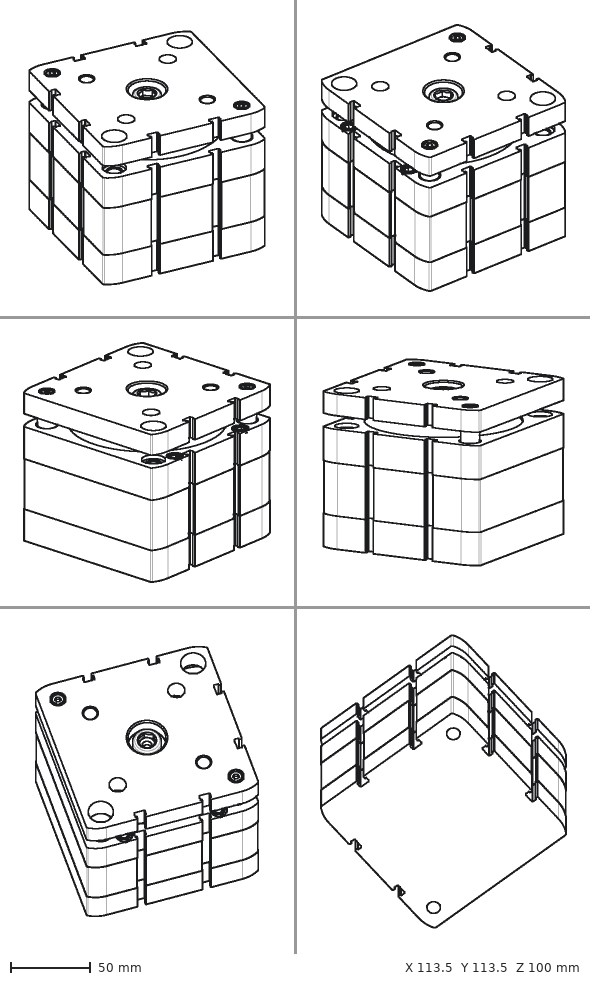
import cadquery as cq
import math

WIDTH = 113.5
HALF = WIDTH / 2
TOTAL_HEIGHT = 100.0
PLATE_THICKNESS = 14.0
PLATE_BOTTOM = TOTAL_HEIGHT - PLATE_THICKNESS
HOUSING_TOP = 77.3
LOWER_CAP_TOP = 21.5
UPPER_CAP_BOTTOM = 55.5
BARREL_INSET = 0.2

CORNER_START = 44.8
CORNER_RADIUS = 22.5
CORNER_BLEND = 1.5

SLOT_OFFSET = 21.5
SLOT_OPENING = 5.2
SLOT_WIDTH = 7.2
SLOT_DEPTH = 5.0
SLOT_LIP = 1.9
SLOT_CHAMFER = 0.3
SLOT_SIDES = (0, 90, 180)

CORNER_PITCH = 44.6
GUIDE_DIAMETER = 12.0
GUIDE_LEAD_DIAMETER = 14.0
GUIDE_LEAD_DEPTH = 0.3
PISTON_ROD_DIAMETER = 20.0
ROD_BOTTOM = LOWER_CAP_TOP
FLAT_WIDTH = 17.0
FLAT_BOTTOM = HOUSING_TOP + 2.0

COVER_RECESS_DIAMETER = 100.0
COVER_RECESS_DEPTH = 1.7
MOUNT_BORE = 8.4
MOUNT_RIM = 10.0
MOUNT_COUNTERBORE = 15.0
MOUNT_COUNTERBORE_DEPTH = 2.5
CAP_SCREW_X = -50.7
CAP_SCREW_Y = 31.2
CAP_SCREW_RECESS = 10.7
CAP_SCREW_RECESS_DEPTH = 1.7
CAP_SCREW_HEAD = 10.0
CAP_SCREW_CHAMFER = 1.0
CAP_SCREW_SOCKET_FLATS = 5.0
CAP_SCREW_SOCKET_RIM = 6.0
CAP_SCREW_SOCKET_DEPTH = 3.4

PLATE_CORNER_HOLE = 15.8
INNER_PITCH = 28.4
PLAIN_HOLE = 10.7
TAPPED_HOLE = 8.5
TAPPED_RIM = 10.0
CENTRE_BORE = 24.0
CENTRE_BORE_CHAMFER = 1.0
CENTRE_BORE_FLOOR = PLATE_BOTTOM + 4.5
CENTRE_SCREW_HEAD = 18.0
CENTRE_SCREW_TOP = PLATE_BOTTOM + 10.9
CENTRE_SCREW_ROUND = 1.1
CENTRE_SOCKET_FLATS = 10.0
CENTRE_SOCKET_RIM = 12.0
CENTRE_SOCKET_DEPTH = 4.5
CENTRE_DRILL = 6.0
CENTRE_DRILL_DEPTH = 2.3
DRILL_TIP_SLOPE = math.tan(math.radians(30))
ROD_SCREW_HOLE = 10.0
ROD_SCREW_HOLE_DEPTH = 3.4
ROD_SCREW_HEAD = 8.4
ROD_SCREW_CHAMFER = 0.6
ROD_SCREW_SINK = 0.3
ROD_SCREW_SOCKET = 4.0
ROD_SCREW_SOCKET_DEPTH = 2.3
ROD_SCREW_SOCKET_TURN = 15

CLEAR = 1.1
CENTRE = [(0, 0)]


def rising_pair(pitch):
    """Two points on the diagonal that rises toward +X +Y."""
    return [(pitch, pitch), (-pitch, -pitch)]


def falling_pair(pitch):
    """Two points on the diagonal that falls toward +X -Y."""
    return [(-pitch, pitch), (pitch, -pitch)]


GUIDE_POINTS = rising_pair(CORNER_PITCH)
MOUNT_POINTS = falling_pair(CORNER_PITCH)
TAPPED_POINTS = rising_pair(INNER_PITCH)
PLAIN_POINTS = falling_pair(INNER_PITCH)
CAP_SCREW_POINTS = [(CAP_SCREW_X, -CAP_SCREW_Y), (CAP_SCREW_X, CAP_SCREW_Y)]


def discs(points, diameter, bottom, top):
    """Upright cylinders of one diameter at all the points."""
    return (cq.Workplane("XY", origin=(0, 0, bottom)).pushPoints(points)
            .circle(diameter / 2).extrude(top - bottom))


def cones(points, bottom_diameter, top_diameter, bottom, top):
    """Upright cones, pointed or truncated, at all the points."""
    cone = cq.Solid.makeCone(bottom_diameter / 2, top_diameter / 2, top - bottom)
    return cq.Workplane("XY").newObject([cone.moved(cq.Location(cq.Vector(x, y, bottom))) for x, y in points])


def across_corners(across_flats):
    return across_flats / math.cos(math.pi / 6)


def hexagons(points, across_corners, bottom, top, turn=0):
    """Upright hexagonal prisms at all the points, one corner along +X before the turn."""
    prism = cq.Workplane("XY").polygon(6, across_corners).extrude(top - bottom)
    prism = prism.rotate((0, 0, 0), (0, 0, 1), turn).val()
    return cq.Workplane("XY").newObject([prism.moved(cq.Location(cq.Vector(x, y, bottom))) for x, y in points])


def subtract(body, cutters):
    for cutter in cutters.vals():
        body = body.cut(cq.Workplane(cutter))
    return body


def slot_cutter(bottom, top, inset):
    """One T slot in the -X side, its walls set back by the inset like the rest of the profile."""
    mouth = SLOT_OPENING / 2 + inset
    undercut = SLOT_WIDTH / 2 + inset
    face = -HALF + inset
    shoulder = -HALF + SLOT_LIP - inset
    floor = -HALF + SLOT_DEPTH + inset
    upper_half = [
        (face - CLEAR, mouth + SLOT_CHAMFER),
        (face, mouth + SLOT_CHAMFER),
        (face + SLOT_CHAMFER, mouth),
        (shoulder, mouth),
        (shoulder, undercut),
        (floor - SLOT_CHAMFER, undercut),
        (floor, undercut - SLOT_CHAMFER),
    ]
    lower_half = [(x, -y) for x, y in reversed(upper_half)]
    outline = cq.Workplane("XY", origin=(0, 0, bottom)).polyline(upper_half + lower_half).close()
    return outline.extrude(top - bottom)


def profile_block(bottom, top, inset=0.0):
    """A slice of the square section with rounded corners and T slots on three sides."""
    half = HALF - inset
    radius = CORNER_RADIUS - inset
    arc_centre = HALF - CORNER_RADIUS
    arc_angle = math.asin((half - CORNER_START) / radius)
    arc_end = arc_centre + radius * math.cos(arc_angle)
    mid_x = arc_centre + radius * math.cos(arc_angle / 2)
    mid_y = CORNER_START + radius * math.sin(arc_angle / 2)
    block = (
        cq.Workplane("XY", origin=(0, 0, bottom))
        .moveTo(-arc_end, -half)
        .lineTo(arc_end, -half)
        .threePointArc((mid_x, -mid_y), (half, -CORNER_START))
        .lineTo(half, CORNER_START)
        .threePointArc((mid_x, mid_y), (arc_end, half))
        .lineTo(-arc_end, half)
        .threePointArc((-mid_x, mid_y), (-half, CORNER_START))
        .lineTo(-half, -CORNER_START)
        .threePointArc((-mid_x, -mid_y), (-arc_end, -half))
        .close()
        .extrude(top - bottom)
    )
    for side in ("<Y", ">Y"):
        block = block.faces(side).edges("|Z").fillet(CORNER_BLEND - inset)
    for turn in SLOT_SIDES:
        for offset in (-SLOT_OFFSET, SLOT_OFFSET):
            slot = slot_cutter(bottom, top, inset).translate((0, offset, 0))
            block = block.cut(slot.rotate((0, 0, 0), (0, 0, 1), turn))
    return block


def add_cap_screws(body):
    """Two socket screws in the upper cap, flush with its top inside shallow recesses."""
    recess_floor = HOUSING_TOP - CAP_SCREW_RECESS_DEPTH
    heads = discs(CAP_SCREW_POINTS, CAP_SCREW_HEAD, recess_floor, HOUSING_TOP)
    body = body.cut(discs(CAP_SCREW_POINTS, CAP_SCREW_RECESS, recess_floor, HOUSING_TOP + CLEAR))
    body = body.union(heads.faces(">Z").chamfer(CAP_SCREW_CHAMFER))
    rim_depth = (CAP_SCREW_SOCKET_RIM - CAP_SCREW_SOCKET_FLATS) / 2
    body = subtract(body, cones(
        CAP_SCREW_POINTS, CAP_SCREW_SOCKET_FLATS, CAP_SCREW_SOCKET_RIM, HOUSING_TOP - rim_depth, HOUSING_TOP))
    return subtract(body, hexagons(
        CAP_SCREW_POINTS, across_corners(CAP_SCREW_SOCKET_FLATS),
        HOUSING_TOP - CAP_SCREW_SOCKET_DEPTH, HOUSING_TOP + CLEAR))


def make_housing():
    """Cylinder housing: two end caps and a slightly smaller barrel between them."""
    body = profile_block(0, LOWER_CAP_TOP)
    body = body.union(profile_block(LOWER_CAP_TOP, UPPER_CAP_BOTTOM, BARREL_INSET))
    body = body.union(profile_block(UPPER_CAP_BOTTOM, HOUSING_TOP))
    above = HOUSING_TOP + CLEAR

    body = body.cut(discs(CENTRE, COVER_RECESS_DIAMETER, HOUSING_TOP - COVER_RECESS_DEPTH, above))
    body = body.cut(discs(CENTRE, PISTON_ROD_DIAMETER, ROD_BOTTOM, above))

    body = body.cut(discs(GUIDE_POINTS, GUIDE_DIAMETER, ROD_BOTTOM, above))
    body = subtract(body, cones(
        GUIDE_POINTS, GUIDE_DIAMETER, GUIDE_LEAD_DIAMETER, HOUSING_TOP - GUIDE_LEAD_DEPTH, HOUSING_TOP))

    counterbore_floor = HOUSING_TOP - MOUNT_COUNTERBORE_DEPTH
    rim_depth = (MOUNT_RIM - MOUNT_BORE) / 2
    body = body.cut(discs(MOUNT_POINTS, MOUNT_BORE, -CLEAR, above))
    body = body.cut(discs(MOUNT_POINTS, MOUNT_COUNTERBORE, counterbore_floor, above))
    body = subtract(body, cones(
        MOUNT_POINTS, MOUNT_BORE, MOUNT_RIM, counterbore_floor - rim_depth, counterbore_floor))
    return add_cap_screws(body)


def make_piston_rod():
    """Round rod with two wrench flats that run out at 45 degrees."""
    rod = discs(CENTRE, PISTON_ROD_DIAMETER, ROD_BOTTOM, PLATE_BOTTOM)
    flat = FLAT_WIDTH / 2
    outside = PISTON_ROD_DIAMETER / 2 + CLEAR
    run_out = FLAT_BOTTOM - (outside - flat)
    for side in (-1, 1):
        cutter = (
            cq.Workplane("YZ")
            .polyline([(side * flat, PLATE_BOTTOM), (side * flat, FLAT_BOTTOM),
                       (side * outside, run_out), (side * outside, PLATE_BOTTOM)])
            .close()
            .extrude(PISTON_ROD_DIAMETER, both=True)
        )
        rod = rod.cut(cutter)
    return rod


def add_centre_screw(body):
    """Large socket screw at the bottom of the chamfered central bore."""
    chamfer_floor = TOTAL_HEIGHT - CENTRE_BORE_CHAMFER
    body = body.cut(discs(CENTRE, CENTRE_BORE, CENTRE_BORE_FLOOR, TOTAL_HEIGHT + CLEAR))
    body = body.cut(cones(
        CENTRE, CENTRE_BORE, CENTRE_BORE + 2 * CENTRE_BORE_CHAMFER, chamfer_floor, TOTAL_HEIGHT))
    head = discs(CENTRE, CENTRE_SCREW_HEAD, CENTRE_BORE_FLOOR, CENTRE_SCREW_TOP)
    body = body.union(head.faces(">Z").edges().fillet(CENTRE_SCREW_ROUND))

    socket_floor = CENTRE_SCREW_TOP - CENTRE_SOCKET_DEPTH
    rim_depth = (CENTRE_SOCKET_RIM - CENTRE_SOCKET_FLATS) / 2
    cone_depth = CENTRE_SOCKET_FLATS / 2 * DRILL_TIP_SLOPE
    drill_bottom = socket_floor - cone_depth - CENTRE_DRILL_DEPTH
    tip_depth = CENTRE_DRILL / 2 * DRILL_TIP_SLOPE
    body = body.cut(hexagons(CENTRE, across_corners(CENTRE_SOCKET_FLATS), socket_floor, CENTRE_SCREW_TOP))
    body = body.cut(cones(
        CENTRE, CENTRE_SOCKET_FLATS, CENTRE_SOCKET_RIM, CENTRE_SCREW_TOP - rim_depth, CENTRE_SCREW_TOP))
    body = body.cut(cones(CENTRE, 0, CENTRE_SOCKET_FLATS, socket_floor - cone_depth, socket_floor))
    body = body.cut(discs(CENTRE, CENTRE_DRILL, drill_bottom, socket_floor))
    return body.cut(cones(CENTRE, 0, CENTRE_DRILL, drill_bottom - tip_depth, drill_bottom))


def add_rod_screws(body):
    """Small socket screws above the guide rods, each sunk in its own hole."""
    hole_floor = TOTAL_HEIGHT - ROD_SCREW_HOLE_DEPTH
    head_top = TOTAL_HEIGHT - ROD_SCREW_SINK
    heads = discs(GUIDE_POINTS, ROD_SCREW_HEAD, hole_floor, head_top)
    body = body.cut(discs(GUIDE_POINTS, ROD_SCREW_HOLE, hole_floor, TOTAL_HEIGHT + CLEAR))
    body = body.union(heads.faces(">Z").chamfer(ROD_SCREW_CHAMFER))
    return subtract(body, hexagons(
        GUIDE_POINTS, ROD_SCREW_SOCKET, head_top - ROD_SCREW_SOCKET_DEPTH, head_top, ROD_SCREW_SOCKET_TURN))


def make_slide():
    """Moving part: front plate with its screws, the piston rod and two guide rods."""
    above = TOTAL_HEIGHT + CLEAR
    below = PLATE_BOTTOM - CLEAR
    body = profile_block(PLATE_BOTTOM, TOTAL_HEIGHT)

    body = body.cut(discs(MOUNT_POINTS, PLATE_CORNER_HOLE, below, above))
    body = body.cut(discs(PLAIN_POINTS, PLAIN_HOLE, below, above))
    body = body.cut(discs(TAPPED_POINTS, TAPPED_HOLE, below, above))
    rim_floor = TOTAL_HEIGHT - (TAPPED_RIM - TAPPED_HOLE) / 2
    body = subtract(body, cones(TAPPED_POINTS, TAPPED_HOLE, TAPPED_RIM, rim_floor, TOTAL_HEIGHT))

    body = body.union(make_piston_rod())
    body = body.union(discs(GUIDE_POINTS, GUIDE_DIAMETER, ROD_BOTTOM, PLATE_BOTTOM))
    body = add_centre_screw(body)
    return add_rod_screws(body)


housing = make_housing()
slide = make_slide()
result = cq.Compound.makeCompound([housing.val(), slide.val()])